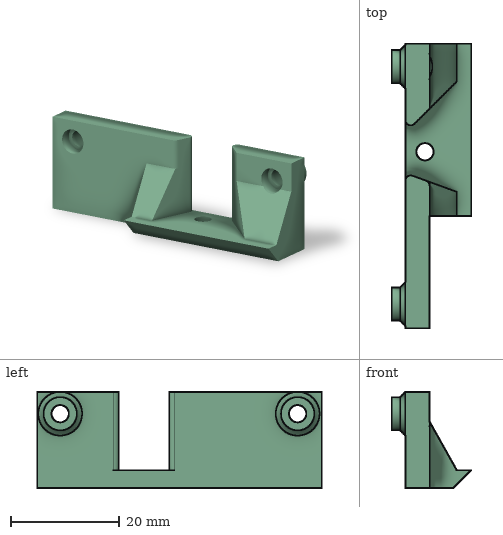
import cadquery as cq
import math

length = 52.65
height = 17.8
thickness = 4.5
back_x = 12.2

foot_height = 3.3
foot_end_y = -5.6
buttress_top = 12.3
buttress_x = 9.55

upper_wall_y = 9.8
upper_wall_angle = 45.0
lower_wall_y = 2.35
lower_wall_angle = 20.0
edge_radius = 1.0

boss_diameter = 6.15
boss_length = 2.55
cone_diameter = 8.1
cone_length = (cone_diameter - boss_diameter) / 2
upper_boss_inset = 4.25
lower_boss_inset = 4.5
boss_z = height - cone_diameter / 2
hole_diameter = 3.15
counterbore_diameter = 4.7
counterbore_depth = thickness / 2
floor_hole_x = 3.65
floor_hole_y = 6.3

end_y = length / 2


def upper_wall(x):
    """Y of the notch wall on the +Y side."""
    return upper_wall_y + x * math.tan(math.radians(upper_wall_angle))


def lower_wall(x):
    """Y of the notch wall on the -Y side."""
    return lower_wall_y - x * math.tan(math.radians(lower_wall_angle))


def make_wing(wall, wing_end_y, rounded_edge_xs):
    """Full-height plate wing; its upright notch edges at the given X are rounded."""
    outline = [(0, wing_end_y), (0, wall(0)), (thickness, wall(thickness)), (thickness, wing_end_y)]
    wing = cq.Workplane("XY").polyline(outline).close().extrude(height)
    for x in rounded_edge_xs:
        edge = cq.selectors.NearestToPointSelector((x, wall(x), height / 2))
        wing = wing.edges("|Z").edges(edge).fillet(edge_radius)
    return wing


def make_buttress(wall, buttress_end_y):
    """Sloping support behind a wing, ending on the slanted notch wall."""
    profile = [
        (thickness / 2, foot_height),
        (buttress_x, foot_height),
        (thickness, buttress_top),
        (thickness / 2, buttress_top),
    ]
    prism = cq.Workplane("XZ", origin=(0, end_y, 0)).polyline(profile).close().extrude(length)
    outline = [(0, buttress_end_y), (0, wall(0)), (back_x, wall(back_x)), (back_x, buttress_end_y)]
    return prism.intersect(cq.Workplane("XY").polyline(outline).close().extrude(height))


def make_foot():
    """Floor of the notch, with an undercut back edge."""
    profile = [(0, 0), (back_x - foot_height, 0), (back_x, foot_height), (0, foot_height)]
    foot = cq.Workplane("XZ", origin=(0, end_y, 0)).polyline(profile).close()
    return foot.extrude(end_y - foot_end_y)


def make_boss(y):
    """Cylindrical boss with a 45 degree conical base on the front face."""
    profile = [
        (0, 0),
        (-boss_length, 0),
        (-boss_length, boss_diameter / 2),
        (-cone_length, boss_diameter / 2),
        (0, cone_diameter / 2),
    ]
    boss = cq.Workplane("XY").polyline(profile).close().revolve(360, (0, 0, 0), (1, 0, 0))
    return boss.translate((0, y, boss_z))


def make_boss_hole(y):
    """Through hole with a counterbore from the back."""
    start = cq.Workplane("YZ", origin=(-boss_length, y, boss_z))
    hole = start.circle(hole_diameter / 2).extrude(boss_length + back_x)
    bore_start = cq.Workplane("YZ", origin=(thickness - counterbore_depth, y, boss_z))
    return hole.union(bore_start.circle(counterbore_diameter / 2).extrude(back_x))


result = make_foot()
for wall, wing_end_y, buttress_end_y, rounded_edge_xs in (
    (upper_wall, end_y, end_y, (0,)),
    (lower_wall, -end_y, foot_end_y, (0, thickness)),
):
    result = result.union(make_wing(wall, wing_end_y, rounded_edge_xs))
    result = result.union(make_buttress(wall, buttress_end_y))

for boss_y in (end_y - upper_boss_inset, lower_boss_inset - end_y):
    result = result.union(make_boss(boss_y)).cut(make_boss_hole(boss_y))

floor_hole = cq.Workplane("XY").center(floor_hole_x, floor_hole_y).circle(hole_diameter / 2).extrude(foot_height)
result = result.cut(floor_hole)